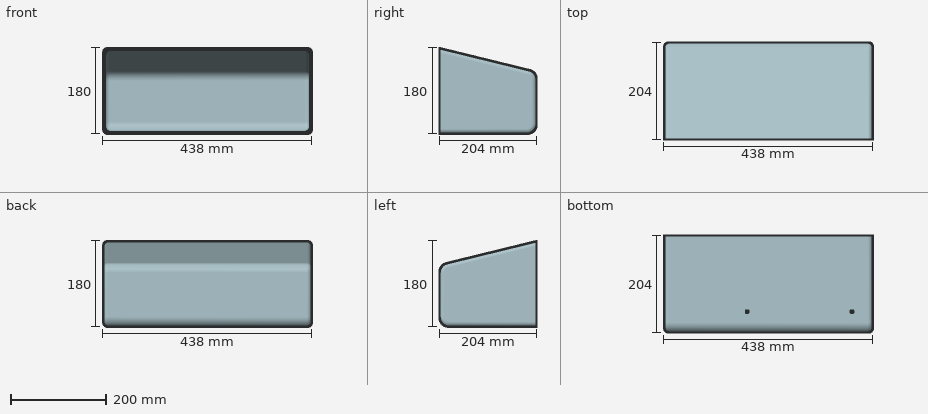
import cadquery as cq
import math

width = 438.0
depth = 204.0
front_height = 180.0
back_height = 130.0

wall = 4.0
side_radius = 10.0
back_radius = 20.0

hole_diameter = 5.5
hole_xs = (-45.0, 175.0)
hole_y = 160.0

roof_slope = (front_height - back_height) / depth

roof_edge_height = wall * math.hypot(1, roof_slope)


def rounded_wedge(body_width, bottom, front_top, back):
    """Wedge from the front plane to the back, all edges rounded except those of the front face."""
    back_top = front_top - roof_slope * back
    wedge = (
        cq.Workplane("YZ")
        .polyline([(0, bottom), (back, bottom), (back, back_top), (0, front_top)])
        .close()
        .extrude(body_width / 2, both=True)
    )
    wedge = wedge.faces(">Y").edges("|X").fillet(back_radius)
    return wedge.faces("<X or >X").edges("not <Y").fillet(side_radius)


def floor_holes():
    """Cutters for the round holes through the floor."""
    return (
        cq.Workplane("XY")
        .pushPoints([(x, hole_y) for x in hole_xs])
        .circle(hole_diameter / 2)
        .extrude(wall)
    )


shell = rounded_wedge(width, 0, front_height, depth)
cavity = rounded_wedge(width - 2 * wall, wall, front_height - roof_edge_height, depth - wall)

result = shell.cut(cavity).cut(floor_holes())